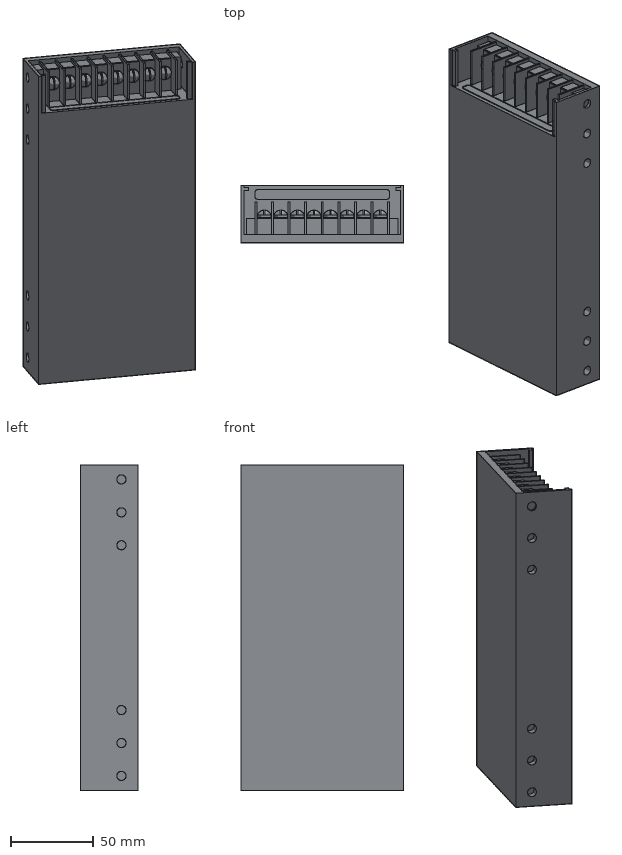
import cadquery as cq
import math

width = 99.0
depth = 35.0
height = 198.0

bay_depth = 23.8
front_wall = 5.1
side_wall = 2.0
bay_floor = height - bay_depth
bay_half_width = width / 2 - side_wall

lip_length = 2.8
lip_thickness = 2.0
lip_setback = 1.2

terminal_count = 8
fin_thickness = 1.2
fin_span = 80.5
terminal_pitch = fin_span / terminal_count
block_side_gap = 1.4
block_rear = 14.8
block_top = height - 3.0
fin_rear = 25.0
fin_top = height - 1.2

plate_thickness = 0.5
plate_drop = 0.4
screw_drop = 11.9
screw_radius = 4.2
screw_rim = 1.5
dome_height = 3.0
slot_width = 0.8

label_rear = depth - 2.5
label_depth = 6.0
label_raise = 0.4
label_corner = 1.8

hole_diameter = 5.5
hole_depth = 6.0
hole_y = 10.0
hole_spacing = 20.0
holes_per_group = 3
end_hole_margin = 9.0


def box(x_min, x_max, y_min, y_max, z_min, z_max):
    """Block between the given limits."""
    size = (x_max - x_min, y_max - y_min, z_max - z_min)
    return cq.Workplane("XY").box(*size, centered=False).translate((x_min, y_min, z_min))


def make_case():
    """Solid case with the bay cut out of its top and rear."""
    case = box(-width / 2, width / 2, 0, depth, 0, height)
    bay = box(-bay_half_width, bay_half_width, front_wall, depth, bay_floor, height)
    return case.cut(bay)


def make_lip():
    """Lip at the rear of the -X side wall."""
    rear = depth - lip_setback
    return box(
        -width / 2, -bay_half_width + lip_length, rear - lip_thickness, rear, bay_floor, height
    )


def make_screw(x, plate_rear):
    """Slotted dome-head screw on its plate, pointing to the rear."""
    rim_rear = plate_rear + screw_rim
    dome_radius = (screw_radius**2 + dome_height**2) / (2 * dome_height)
    half_angle = math.asin(screw_radius / dome_radius) / 2
    arc_mid = (
        dome_radius * math.sin(half_angle),
        rim_rear + dome_height - dome_radius * (1 - math.cos(half_angle)),
    )
    head = (
        cq.Workplane("XY")
        .moveTo(0, block_rear)
        .lineTo(screw_radius, block_rear)
        .lineTo(screw_radius, rim_rear)
        .threePointArc(arc_mid, (0, rim_rear + dome_height))
        .close()
        .revolve(360, (0, 0, 0), (0, 1, 0))
    )
    slot = box(
        -slot_width / 2, slot_width / 2,
        rim_rear, rim_rear + dome_height,
        -screw_radius, screw_radius,
    )
    return head.cut(slot).translate((x, 0, height - screw_drop))


def make_terminal_block():
    """Body, fins, plates and screws of the terminal strip."""
    block_half_width = bay_half_width - block_side_gap
    block = box(-block_half_width, block_half_width, front_wall, block_rear, bay_floor, block_top)
    plate_rear = block_rear + plate_thickness
    block = block.union(
        box(-fin_span / 2, fin_span / 2, block_rear, plate_rear, bay_floor, block_top - plate_drop)
    )
    for i in range(terminal_count):
        block = block.union(make_screw((i + 0.5) * terminal_pitch - fin_span / 2, plate_rear))
    for i in range(terminal_count + 1):
        x = i * terminal_pitch - fin_span / 2
        block = block.union(
            box(x - fin_thickness / 2, x + fin_thickness / 2, front_wall, fin_rear, bay_floor, fin_top)
        )
    return block


def make_label():
    """Thin raised panel with rounded corners behind the terminals."""
    label_width = fin_span + fin_thickness
    label = box(
        -label_width / 2, label_width / 2,
        label_rear - label_depth, label_rear,
        bay_floor, bay_floor + label_raise,
    )
    return label.edges("|Z").fillet(label_corner)


def make_side_holes():
    """Blind mounting holes of the -X side: one group near each end."""
    points = []
    for i in range(holes_per_group):
        offset = end_hole_margin + i * hole_spacing
        points += [(hole_y, offset), (hole_y, height - offset)]
    return (
        cq.Workplane("YZ", origin=(-width / 2, 0, 0))
        .pushPoints(points)
        .circle(hole_diameter / 2)
        .extrude(hole_depth)
    )


lip = make_lip()
case = make_case().union(lip).union(lip.mirror("YZ"))

holes = make_side_holes()
case = case.cut(holes).cut(holes.mirror("YZ"))

result = case.union(make_terminal_block()).union(make_label())